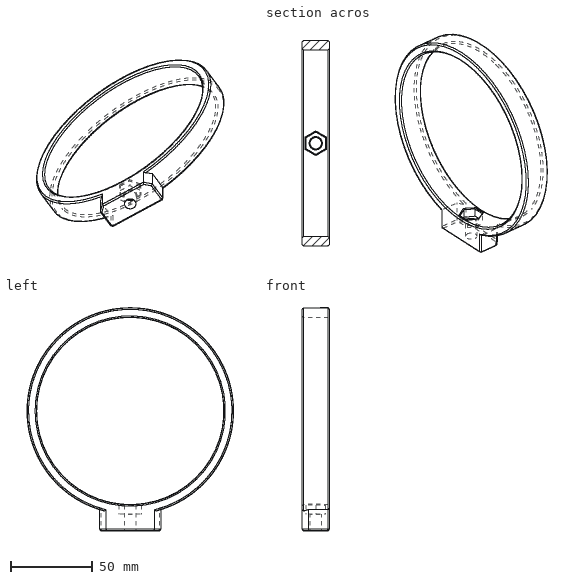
import cadquery as cq
import math

width = 17.0
outer_radius = 63.4
inner_radius = 115.0 / 2
edge_chamfer = 1.0

total_height = 137.0
foot_length = 37.8
foot_corner_chamfer = 4.0
foot_bottom = outer_radius - total_height

hole_diameter = 7.0
nut_across_flats = 11.9
nut_floor = -63.2
rim_chamfer = 0.5


def x_cylinder(radius):
    """Cylinder along X, centred on the origin."""
    return cq.Workplane("YZ").circle(radius).extrude(width / 2, both=True)


def make_ring_body():
    """Outer disc with both rims chamfered."""
    return x_cylinder(outer_radius).faces("<X or >X").edges().chamfer(edge_chamfer)


def make_foot():
    """Block with large corner chamfers at -X and small ones at +X and below."""
    foot = cq.Workplane("XY").box(
        width, foot_length, -foot_bottom, centered=(True, True, False)
    ).translate((0, 0, foot_bottom))
    foot = foot.edges("|Z and <X").chamfer(foot_corner_chamfer)
    foot = foot.edges("|Z and >X").chamfer(edge_chamfer)
    return foot.faces("<Z").edges().chamfer(edge_chamfer)


def make_bore():
    """Opening of the ring, flared at both rims."""
    flare = (
        cq.Workplane("YZ", origin=(-width / 2, 0, 0))
        .circle(inner_radius + edge_chamfer)
        .workplane(offset=edge_chamfer)
        .circle(inner_radius)
        .loft()
    )
    return x_cylinder(inner_radius).union(flare).union(flare.mirror("YZ"))


def make_nut_pocket():
    """Hexagonal prism with two flats facing along X and corners along Y."""
    corner_diameter = nut_across_flats / math.cos(math.pi / 6)
    return (
        cq.Workplane("XY", origin=(0, 0, nut_floor))
        .polygon(6, corner_diameter)
        .extrude(-nut_floor)
        .rotate((0, 0, 0), (0, 0, 1), 90)
    )


def make_screw_hole():
    """Through hole with its upper mouth chamfered at the pocket floor."""
    hole_radius = hole_diameter / 2
    hole = cq.Workplane("XY", origin=(0, 0, foot_bottom)).circle(hole_radius).extrude(nut_floor - foot_bottom)
    mouth = (
        cq.Workplane("XY", origin=(0, 0, nut_floor - rim_chamfer))
        .circle(hole_radius)
        .workplane(offset=rim_chamfer)
        .circle(hole_radius + rim_chamfer)
        .loft()
    )
    return hole.union(mouth)


def chamfer_pocket_rim(body):
    """Break the edges where the pocket meets the bore."""
    reach = nut_across_flats
    mid_depth = (nut_floor - inner_radius) / 2
    rim_zone = cq.selectors.BoxSelector((-reach, -reach, mid_depth), (reach, reach, 0))
    upright = cq.selectors.ParallelDirSelector(cq.Vector(0, 0, 1))
    return body.edges(rim_zone - upright).chamfer(rim_chamfer)


result = make_ring_body().union(make_foot()).cut(make_bore())
result = result.cut(make_nut_pocket()).cut(make_screw_hole())
result = chamfer_pocket_rim(result)